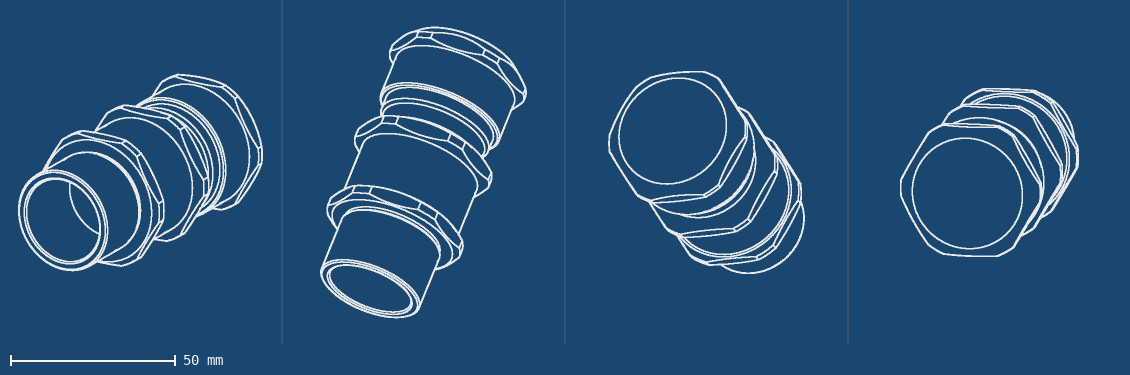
import cadquery as cq
import math


total_length = 84.0
spigot_length = 18.5
entry_nut_front = 20.0
entry_nut_back = 25.0
body_nut_front = 44.5
body_nut_back = 52.0
neck_end = 57.0
collar_end = 62.0
cap_nut_front = 76.0

spigot_dia = 32.0
groove_dia = 31.0
body_dia = 37.4
neck_dia = 33.0
collar_dia = 35.0
sleeve_dia = 38.6
cap_end_dia = 34.25

across_flats = 40.0
across_corners = across_flats / math.cos(math.radians(30))
large_corner_dia = 43.4
entry_corner_dia = 43.0
entry_face_dia = 39.0
nut_bevel_slope = math.tan(math.radians(30))
cap_bevel_slope = math.tan(math.radians(45))

bore_dia = 26.4
bore_depth = entry_nut_back
bore_chamfer = 0.5
edge_chamfer = 0.5


def revolve_profile(points):
    """Revolve a closed (radius, Y) outline about the Y axis."""
    return cq.Workplane("XY").polyline(points).close().revolve(360, (0, 0, 0), (0, 1, 0))


def hex_nut(front, back, front_dia, back_dia, corner_dia, back_slope=nut_bevel_slope):
    """Hexagonal nut with flats facing +Z and -Z, its corners turned to a bevelled round."""
    front_radius = front_dia / 2
    back_radius = back_dia / 2
    corner_radius = corner_dia / 2
    corner_front = front + (corner_radius - front_radius) * nut_bevel_slope
    corner_back = back - (corner_radius - back_radius) * back_slope
    blank = revolve_profile([
        (0, front),
        (front_radius, front),
        (corner_radius, corner_front),
        (corner_radius, corner_back),
        (back_radius, back),
        (0, back),
    ])
    prism = (
        cq.Workplane("XZ", origin=(0, front, 0))
        .polygon(6, across_corners)
        .extrude(front - back)
    )
    return blank.intersect(prism)


def turned_body():
    """Stepped round body: spigot, groove, body, neck, collar and cap sleeve."""
    spigot_radius = spigot_dia / 2
    groove_radius = groove_dia / 2
    body_radius = body_dia / 2
    neck_radius = neck_dia / 2
    collar_radius = collar_dia / 2
    sleeve_radius = sleeve_dia / 2
    groove_start = spigot_length + spigot_radius - groove_radius
    collar_start = neck_end + collar_radius - neck_radius
    return revolve_profile([
        (0, 0),
        (spigot_radius - edge_chamfer, 0),
        (spigot_radius, edge_chamfer),
        (spigot_radius, spigot_length),
        (groove_radius, groove_start),
        (groove_radius, entry_nut_front),
        (body_radius, entry_nut_front),
        (body_radius, body_nut_front),
        (neck_radius, body_nut_front),
        (neck_radius, neck_end),
        (collar_radius, collar_start),
        (collar_radius, collar_end),
        (sleeve_radius - edge_chamfer, collar_end),
        (sleeve_radius, collar_end + edge_chamfer),
        (sleeve_radius, cap_nut_front),
        (0, cap_nut_front),
    ])


def bore():
    """Blind bore from the spigot mouth, with a chamfered rim."""
    bore_radius = bore_dia / 2
    return revolve_profile([
        (0, 0),
        (bore_radius + bore_chamfer, 0),
        (bore_radius, bore_chamfer),
        (bore_radius, bore_depth),
        (0, bore_depth),
    ])


entry_nut = hex_nut(entry_nut_front, entry_nut_back, entry_face_dia, entry_face_dia, entry_corner_dia)
body_nut = hex_nut(body_nut_front, body_nut_back, body_dia, neck_dia, large_corner_dia)
cap_nut = hex_nut(
    cap_nut_front, total_length, sleeve_dia, cap_end_dia, large_corner_dia, cap_bevel_slope
)

result = turned_body().union(entry_nut).union(body_nut).union(cap_nut).cut(bore())